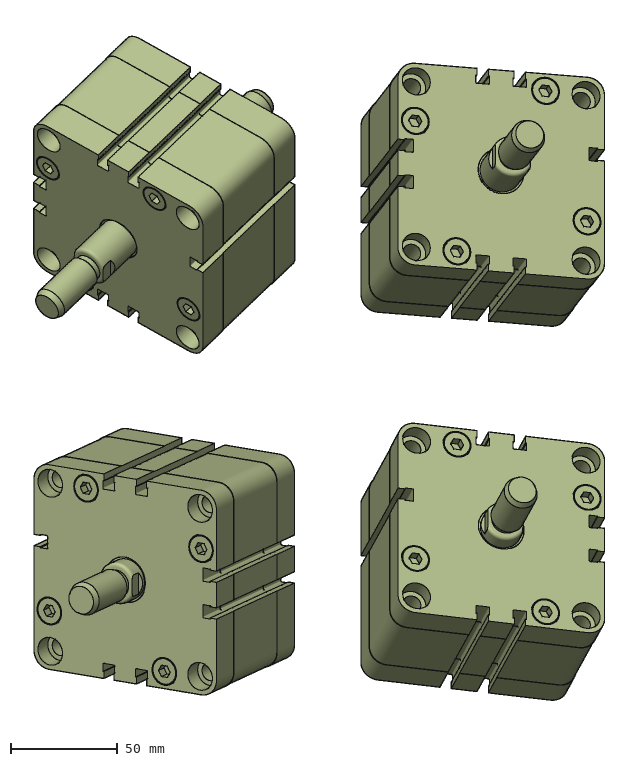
import cadquery as cq
import math


total_length = 166.0
front_rod_reach = 55.0
back_rod_reach = 40.0
front_tip = -total_length / 2
back_tip = total_length / 2
front_face = front_tip + front_rod_reach
back_face = back_tip - back_rod_reach
body_length = back_face - front_face

body_side = 100.0
barrel_side = 99.6
cap_length = 16.0
corner_radius = 8.3

slot_mouth_width = 5.5
slot_inner_width = 6.5
slot_lip_depth = 3.5
slot_depth = 7.5
slot_floor_radius = 0.5
slot_pair_offset = 9.0
single_slot_offset = 12.0

mount_offset = 41.0
mount_hole_diameter = 8.6
counterbore_diameter = 13.5
counterbore_depth = 9.0

screw_near_offset = 21.4
screw_far_offset = 41.5
screw_head_diameter = 12.5
screw_recess_diameter = 13.5
screw_recess_depth = 5.0
socket_across_flats = 5.5
socket_depth = 5.0

rod_diameter = 20.0
rod_recess_diameter = 22.0
rod_recess_depth = 1.0
shoulder_radius = 1.7
wrench_flat_width = 17.0
wrench_flat_length = 5.8

stud_length = 32.0
thread_diameter = 16.0
neck_diameter = 13.5
neck_length = 2.7
thread_start_length = 1.0
tip_chamfer_length = 3.2


def disc(diameter, length):
    """Cylinder on the Y axis from Y = 0 to Y = length."""
    return cq.Workplane("XZ").circle(diameter / 2).extrude(-length)


def at_both_ends(tool):
    """Copy a tool that enters along +Y from Y = 0 to the front face, and mirrored to the back face."""
    front = tool.translate((0, front_face, 0))
    back = tool.mirror("XZ").translate((0, back_face, 0))
    return front.union(back)


def rounded_block(side, length):
    """Square block with rounded long edges, from Y = 0 to Y = length."""
    block = cq.Workplane("XY").box(side, length, side, centered=(True, False, True))
    return block.edges("|Y").fillet(corner_radius)


def t_slot(side, length, turn, offset):
    """T-slot cut in the top face at X = offset, then turned about Y onto another side."""
    inner_height = slot_depth - slot_lip_depth
    mouth = cq.Workplane("XY").box(slot_mouth_width, length, slot_depth, centered=(True, False, False))
    inner = (
        cq.Workplane("XY")
        .box(slot_inner_width, length, inner_height, centered=(True, False, False))
        .edges("|Y and <Z")
        .fillet(slot_floor_radius)
    )
    mouth = mouth.translate((0, 0, inner_height / 2))
    slot = inner.union(mouth).translate((offset, 0, side / 2 - slot_depth))
    return slot.rotate((0, 0, 0), (0, 1, 0), turn)


def slotted_block(side, length, start):
    """Rounded square block with all seven T-slots, from Y = start to Y = start + length."""
    block = rounded_block(side, length)
    for turn in (0, 180, 270):
        for offset in (-slot_pair_offset, slot_pair_offset):
            block = block.cut(t_slot(side, length, turn, offset))
    block = block.cut(t_slot(side, length, 90, -single_slot_offset))
    return block.translate((0, start, 0))


def mounting_hole(x, z):
    hole = disc(mount_hole_diameter, body_length).translate((0, front_face, 0))
    counterbores = at_both_ends(disc(counterbore_diameter, counterbore_depth))
    return hole.union(counterbores).translate((x, 0, z))


def screw_recess(x, z):
    """Ring gap around a flush screw head, together with its hexagon socket, at both ends."""
    head = disc(screw_head_diameter, screw_recess_depth)
    gap = disc(screw_recess_diameter, screw_recess_depth).cut(head)
    across_corners = socket_across_flats / math.cos(math.pi / 6)
    socket = cq.Workplane("XZ").polygon(6, across_corners).extrude(-socket_depth)
    return at_both_ends(gap.union(socket)).translate((x, 0, z))


def rod_end(reach):
    """Rod end that starts in the body, crosses its face at Y = 0 and reaches out to Y = -reach."""
    shoulder = stud_length - reach
    thread_start = shoulder - neck_length
    tip = -reach
    arc_rise = shoulder_radius * (1 - math.sqrt(0.5))
    rod = (
        cq.Workplane("XY")
        .moveTo(0, body_length / 2)
        .lineTo(rod_diameter / 2, body_length / 2)
        .lineTo(rod_diameter / 2, shoulder + shoulder_radius)
        .threePointArc(
            (rod_diameter / 2 - arc_rise, shoulder + arc_rise),
            (rod_diameter / 2 - shoulder_radius, shoulder),
        )
        .lineTo(neck_diameter / 2, shoulder)
        .lineTo(neck_diameter / 2, thread_start)
        .lineTo(thread_diameter / 2, thread_start - thread_start_length)
        .lineTo(thread_diameter / 2, tip + tip_chamfer_length)
        .lineTo(neck_diameter / 2, tip)
        .lineTo(0, tip)
        .close()
        .revolve(360, (0, 0), (0, 1))
    )
    for side in (-1, 1):
        rod = rod.cut(wrench_flat(side).translate((0, shoulder, 0)))
    return rod


def wrench_flat(side):
    """Cutter for one wrench flat, with a 45 degree run-out at its inner end."""
    flat = side * wrench_flat_width / 2
    outside = side * rod_diameter / 2
    runout_end = wrench_flat_length + (rod_diameter - wrench_flat_width) / 2
    return (
        cq.Workplane("XY")
        .polyline([(flat, 0), (flat, wrench_flat_length), (outside, runout_end), (outside, 0)])
        .close()
        .extrude(rod_diameter / 2, both=True)
    )


front_cap = slotted_block(body_side, cap_length, front_face)
barrel = slotted_block(barrel_side, body_length - 2 * cap_length, front_face + cap_length)
back_cap = slotted_block(body_side, cap_length, back_face - cap_length)
body = front_cap.union(barrel).union(back_cap)

for x in (-mount_offset, mount_offset):
    for z in (-mount_offset, mount_offset):
        body = body.cut(mounting_hole(x, z))

x, z = screw_near_offset, screw_far_offset
for _ in range(4):
    body = body.cut(screw_recess(x, z))
    x, z = -z, x

body = body.cut(at_both_ends(disc(rod_recess_diameter, rod_recess_depth)))

front_rod = rod_end(front_rod_reach).translate((0, front_face, 0))
back_rod = rod_end(back_rod_reach).mirror("XZ").translate((0, back_face, 0))
result = body.union(front_rod).union(back_rod)